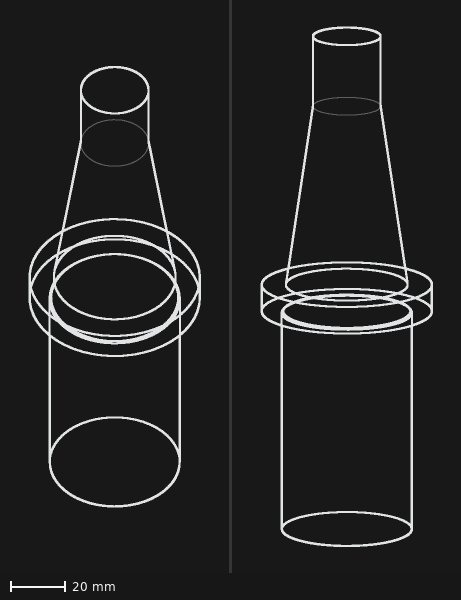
import cadquery as cq

total_height = 188.4
shank_diameter = 48.0
shank_height = 83.3
collar_diameter = 63.0
collar_height = 10.2
cone_base_diameter = 45.0
cone_height = 68.2
tip_diameter = 25.0
shank_chamfer = 0.5

collar_top = shank_height + collar_height
cone_top = collar_top + cone_height
tip_height = total_height - cone_top


def cylinder(diameter, height, base):
    """Round section on the Z axis, starting at the given level."""
    return cq.Workplane("XY").workplane(offset=base).circle(diameter / 2).extrude(height)


def cone(base_diameter, top_diameter, height, base):
    """Tapered section on the Z axis, starting at the given level."""
    solid = cq.Solid.makeCone(base_diameter / 2, top_diameter / 2, height, pnt=cq.Vector(0, 0, base))
    return cq.Workplane("XY").add(solid)


shank = cylinder(shank_diameter, shank_height, 0).faces(">Z").chamfer(shank_chamfer)
collar = cylinder(collar_diameter, collar_height, shank_height)
taper = cone(cone_base_diameter, tip_diameter, cone_height, collar_top)
tip = cylinder(tip_diameter, tip_height, cone_top)

result = shank.union(collar).union(taper).union(tip)